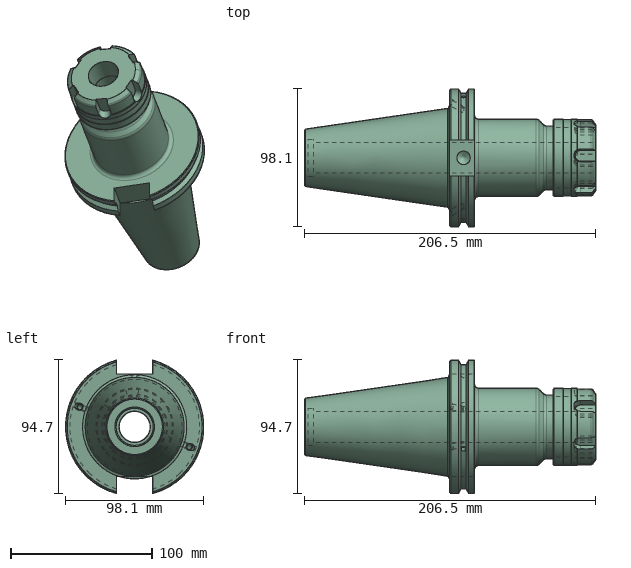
import cadquery as cq
import math


small_end_radius = 20.5
small_end_chamfer = 0.8
taper_end_x = 101.5
taper_slope = 7 / 48
taper_end_radius = small_end_radius + taper_slope * (taper_end_x - small_end_chamfer)

flange_left = 102.7
flange_right = 120.7
flange_radius = 98.1 / 2
flange_left_chamfer = 1.2
flange_right_chamfer = 0.6
groove_center_x = 112.8
groove_bottom_width = 3.7
groove_depth = 3.0
groove_flank_angle = 30
slot_width = 25.6
upper_slot_floor = 37.5
lower_slot_floor = 35.3

relief_inner_radius = 33.7
relief_outer_radius = 37.0

dimple_diameter = 9.5
drill_tip_angle = 118

coolant_angle = 20
coolant_mouth_radius = 42.1
coolant_tilt = 30
coolant_mouth_diameter = 5.0
coolant_mouth_depth = 1.9
coolant_diameter = 4.1
cross_hole_diameter = 3.3

shank_radius = 27.5
shank_end_x = 164.2
shank_root_fillet = 2.9
neck_radius = 22.7
neck_blend = 3.0
neck_cone_angle = 45

bore_diameter = 22.0
counterbore_diameter = 26.2
counterbore_depth = 6.5
countersink_diameter = 28.0
countersink_depth = 2.5

nut_back = 176.2
nut_front = 206.5
nut_radius = 27.5
nut_back_chamfer = 0.8
band_start = 183.3
band_end = 189.5
band_radius = 27.3
collar_end = 193.2
edge_ramp = 0.5
nose_radius = 27.0
nose_end_radius = 23.3
nose_cone_angle = 55
nose_fillet = 1.7
spigot_radius = 21.5
spigot_end = band_end

wrench_slot_count = 6
wrench_slot_floor = 22.1
wrench_slot_floor_width = 7.5
wrench_slot_round_x = 195.7
wrench_slot_draft = 10
wrench_slot_turn = 3.7


def revolve_about_x(outline):
    """Turn a closed (x, radius) outline about the X axis."""
    return outline.close().revolve(360, (0, 0, 0), (1, 0, 0))


def cylinder(start, direction, diameter, length):
    """Cylinder from a start point along a direction."""
    return cq.Workplane(cq.Solid.makeCylinder(diameter / 2, length, start, direction))


def holder_blank():
    """Taper, flange, shank and neck, ending in the spigot that carries the nut."""
    flank_width = groove_depth * math.tan(math.radians(groove_flank_angle))
    groove_bottom_left = groove_center_x - groove_bottom_width / 2
    groove_bottom_right = groove_center_x + groove_bottom_width / 2
    groove_radius = flange_radius - groove_depth

    cone = math.radians(neck_cone_angle)
    blend_length = neck_blend * math.sin(cone)
    blend_drop = neck_blend * (1 - math.cos(cone))
    cone_length = (shank_radius - neck_radius - 2 * blend_drop) / math.tan(cone)
    cone_start = shank_end_x + blend_length
    cone_end = cone_start + cone_length
    neck_start = cone_end + blend_length

    outline = (
        cq.Workplane("XY")
        .moveTo(0, 0)
        .lineTo(0, small_end_radius - small_end_chamfer)
        .lineTo(small_end_chamfer, small_end_radius)
        .lineTo(taper_end_x, taper_end_radius)
        .lineTo(taper_end_x, relief_inner_radius)
        .lineTo(flange_left, relief_outer_radius)
        .lineTo(flange_left, flange_radius - flange_left_chamfer)
        .lineTo(flange_left + flange_left_chamfer, flange_radius)
        .lineTo(groove_bottom_left - flank_width, flange_radius)
        .lineTo(groove_bottom_left, groove_radius)
        .lineTo(groove_bottom_right, groove_radius)
        .lineTo(groove_bottom_right + flank_width, flange_radius)
        .lineTo(flange_right - flange_right_chamfer, flange_radius)
        .lineTo(flange_right, flange_radius - flange_right_chamfer)
        .lineTo(flange_right, shank_radius + shank_root_fillet)
        .radiusArc((flange_right + shank_root_fillet, shank_radius), -shank_root_fillet)
        .lineTo(shank_end_x, shank_radius)
        .radiusArc((cone_start, shank_radius - blend_drop), neck_blend)
        .lineTo(cone_end, neck_radius + blend_drop)
        .radiusArc((neck_start, neck_radius), -neck_blend)
        .lineTo(nut_back, neck_radius)
        .lineTo(nut_back, spigot_radius)
        .lineTo(spigot_end, spigot_radius)
        .lineTo(spigot_end, 0)
    )
    return revolve_about_x(outline)


def holder_bore():
    """Through bore with a countersunk counterbore at the small end of the taper."""
    outline = (
        cq.Workplane("XY")
        .moveTo(0, 0)
        .lineTo(0, countersink_diameter / 2)
        .lineTo(countersink_depth, counterbore_diameter / 2)
        .lineTo(counterbore_depth, counterbore_diameter / 2)
        .lineTo(counterbore_depth, bore_diameter / 2)
        .lineTo(spigot_end, bore_diameter / 2)
        .lineTo(spigot_end, 0)
    )
    return revolve_about_x(outline)


def drive_slot(floor, side):
    """Slot across the flange rim; side is +1 for the upper one and -1 for the lower one."""
    height = flange_radius - floor
    slot_length = flange_right - flange_left
    center_x = (flange_right + flange_left) / 2
    return cq.Workplane("XY").box(slot_length, slot_width, height).translate(
        (center_x, 0, side * (floor + height / 2))
    )


def dimple():
    """Conical drill spot sunk into the upper slot floor."""
    radius = dimple_diameter / 2
    depth = radius / math.tan(math.radians(drill_tip_angle / 2))
    apex = cq.Vector(groove_center_x, 0, upper_slot_floor - depth)
    return cq.Workplane(cq.Solid.makeCone(0, radius, depth, apex, cq.Vector(0, 0, 1)))


def coolant_drilling():
    """Stepped slanting hole in the flange face and the radial hole that meets it, on the +Y side."""
    tilt = math.radians(coolant_tilt)
    run = groove_center_x - flange_left
    meeting_radius = coolant_mouth_radius - run * math.tan(tilt)

    mouth = cq.Vector(flange_left, coolant_mouth_radius, 0)
    inward = cq.Vector(math.cos(tilt), -math.sin(tilt), 0)
    lead_in = coolant_mouth_diameter
    slanted = cylinder(
        mouth - inward * lead_in, inward, coolant_mouth_diameter, lead_in + coolant_mouth_depth
    ).union(cylinder(mouth, inward, coolant_diameter, run / math.cos(tilt)))

    meeting = cq.Vector(groove_center_x, meeting_radius, 0)
    radial = cylinder(
        meeting, cq.Vector(0, 1, 0), cross_hole_diameter, flange_radius - meeting_radius
    )
    return slanted.union(radial).rotate((0, 0, 0), (1, 0, 0), coolant_angle)


def make_holder():
    holder = holder_blank().cut(holder_bore())
    holder = holder.cut(drive_slot(upper_slot_floor, 1)).cut(drive_slot(lower_slot_floor, -1))
    holder = holder.cut(dimple())
    for turn in (0, 180):
        holder = holder.cut(coolant_drilling().rotate((0, 0, 0), (1, 0, 0), turn))
    return holder


def nut_blank():
    """Turned nut with a socket for the spigot and a bore through its nose."""
    cone = math.radians(nose_cone_angle)
    fillet_length = nose_fillet * math.sin(cone)
    fillet_drop = nose_fillet * (1 - math.cos(cone))
    cone_length = (nose_radius - fillet_drop - nose_end_radius) / math.tan(cone)
    cone_start = nut_front - cone_length
    fillet_start = cone_start - fillet_length

    outline = (
        cq.Workplane("XY")
        .moveTo(nut_back, spigot_radius)
        .lineTo(nut_back, nut_radius - nut_back_chamfer)
        .lineTo(nut_back + nut_back_chamfer, nut_radius)
        .lineTo(band_start, nut_radius)
        .lineTo(band_start + edge_ramp, band_radius)
        .lineTo(band_end - edge_ramp, band_radius)
        .lineTo(band_end, nut_radius)
        .lineTo(collar_end, nut_radius)
        .lineTo(collar_end + edge_ramp, nose_radius)
        .lineTo(fillet_start, nose_radius)
        .radiusArc((cone_start, nose_radius - fillet_drop), nose_fillet)
        .lineTo(nut_front, nose_end_radius)
        .lineTo(nut_front, bore_diameter / 2)
        .lineTo(spigot_end, bore_diameter / 2)
        .lineTo(spigot_end, spigot_radius)
    )
    return revolve_about_x(outline)


def wrench_slot():
    """Round-ended slot with leaning walls, open at the nose, on the +Z side of the nut."""
    half_width = wrench_slot_floor_width / 2
    open_end = nut_front + wrench_slot_floor_width
    height = nut_radius + half_width - wrench_slot_floor
    return (
        cq.Workplane("XY", origin=(0, 0, wrench_slot_floor))
        .moveTo(open_end, half_width)
        .lineTo(wrench_slot_round_x, half_width)
        .threePointArc((wrench_slot_round_x - half_width, 0), (wrench_slot_round_x, -half_width))
        .lineTo(open_end, -half_width)
        .close()
        .extrude(height, taper=-wrench_slot_draft)
    )


def make_nut():
    slots = []
    for index in range(wrench_slot_count):
        turn = -wrench_slot_turn + index * 360 / wrench_slot_count
        slots.append(wrench_slot().rotate((0, 0, 0), (1, 0, 0), turn).val())
    return cq.Workplane(nut_blank().val().cut(*slots))


holder = make_holder()
nut = make_nut()
result = cq.Compound.makeCompound([holder.val(), nut.val()])